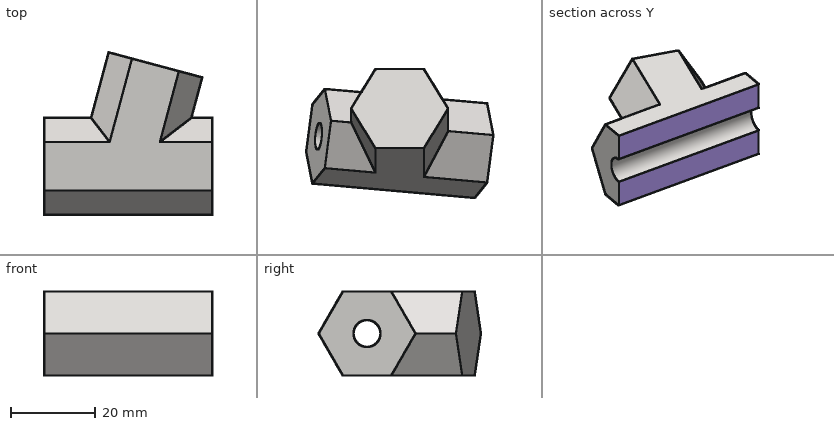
import cadquery as cq
import math

hexagon_sides = 6
across_flats = 20.0
body_length = 40.0
branch_length = 25.0
branch_tilt = 15.0
bore_diameter = 6.35

across_corners = across_flats / math.cos(math.pi / hexagon_sides)


def hex_bar(start, direction, length):
    """Hexagonal bar along a direction in the XY plane, with flats facing up and down."""
    sideways = cq.Vector(0, 0, 1).cross(direction)
    profile_plane = cq.Plane(origin=start.toTuple(), xDir=sideways.toTuple(), normal=direction.toTuple())
    return cq.Workplane(profile_plane).polygon(hexagon_sides, across_corners).extrude(length)


body_start = cq.Vector(-body_length / 2, 0, 0)
body_direction = cq.Vector(1, 0, 0)
body = hex_bar(body_start, body_direction, body_length)

tilt = math.radians(branch_tilt)
branch_direction = cq.Vector(math.sin(tilt), math.cos(tilt), 0)
branch = hex_bar(cq.Vector(0, 0, 0), branch_direction, branch_length)

bore = cq.Workplane("YZ", origin=body_start.toTuple()).circle(bore_diameter / 2).extrude(body_length)

result = body.union(branch).cut(bore)